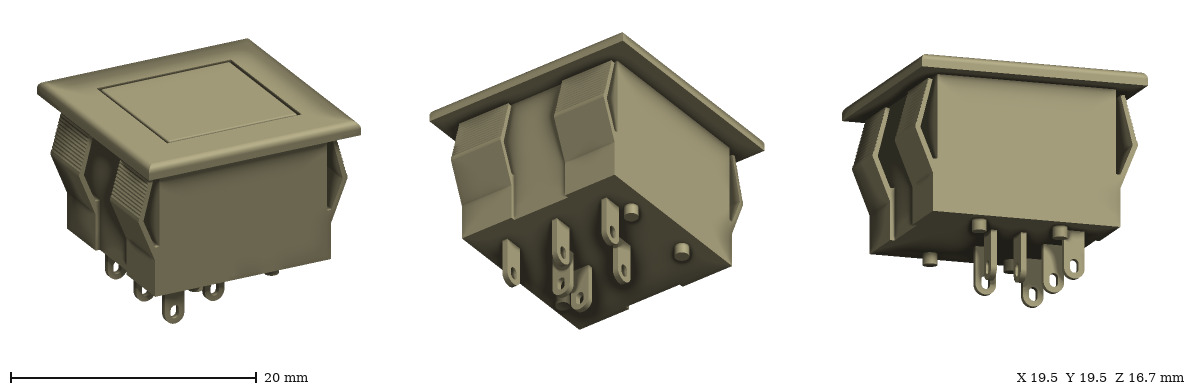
import cadquery as cq
import math

bezel_side = 19.5
bezel_height = 1.19
bezel_fillet = 0.6

pocket_side = 12.36
pocket_depth = 0.6
cap_side = 11.95
cap_fillet = 0.23

body_side = 15.4
body_height = 11.5
body_bottom = -(bezel_height + body_height)

clip_gap = 5.4
clip_width = (body_side - clip_gap) / 2
pad_face = 8.1
pad_top = -9.48
slot_floor = -8.3
slot_fillet = 0.14
knee_outer = 9.61
knee_top = -5.65
knee_bottom = -5.81
knee_setback = 0.02
knee_inner = 9.16
knee_inner_height = -5.73
tip_outer = 8.5
tip_outer_height = -1.58
tip_inner = 8.11
tip_inner_height = -1.65

groove_count = 13
grooved_length = 3.95
groove_pitch = grooved_length / groove_count
groove_depth = 0.068

blade_length = 4.0
blade_width = 1.77
blade_thickness = 0.5
eye_length = 1.15
eye_width = 0.75
eye_height = 1.05
terminal_pitch = 5.0
side_terminal_offset = terminal_pitch / 2
cross_terminal_offset = 1.29

peg_diameter = 1.2
peg_height = 0.94
peg_x = 6.0
peg_y = 3.5

overlap = 0.2
search_margin = 0.02


def square_block(side, top, height):
    return cq.Workplane("XY").workplane(offset=top - height).rect(side, side).extrude(height)


def make_bezel():
    bezel = square_block(bezel_side, 0, bezel_height)
    bezel = bezel.faces(">Z").edges().fillet(bezel_fillet)
    return bezel.cut(square_block(pocket_side, 0, pocket_depth))


def make_cap():
    cap = square_block(cap_side, 0, bezel_height)
    return cap.edges("|Z or >Z").fillet(cap_fillet)


def groove_points():
    """Valley and peak points of the V-grooves, from the tip towards the knee."""
    run = knee_outer - tip_outer
    fall = knee_top - tip_outer_height
    leg_length = math.hypot(run, fall)
    along_y, along_z = run / leg_length, fall / leg_length
    inward_y, inward_z = along_z, -along_y
    points = []
    for index in range(groove_count):
        valley = (index + 0.5) * groove_pitch
        peak = (index + 1) * groove_pitch
        points.append((tip_outer + valley * along_y + groove_depth * inward_y,
                       tip_outer_height + valley * along_z + groove_depth * inward_z))
        points.append((tip_outer + peak * along_y, tip_outer_height + peak * along_z))
    return points


def make_clip(x_start):
    """Pad and spring leg on the +Y face, spanning one clip width from x_start."""
    inside = body_side / 2 - overlap
    outline = [(inside, body_bottom), (pad_face, body_bottom), (pad_face, pad_top),
               (knee_outer - knee_setback, knee_bottom), (knee_outer, knee_top)]
    outline += reversed(groove_points())
    outline += [(tip_outer, tip_outer_height), (tip_inner, tip_inner_height),
                (knee_inner, knee_inner_height), (pad_face, slot_floor),
                (body_side / 2, slot_floor), (inside, slot_floor)]
    return cq.Workplane("YZ").workplane(offset=x_start).polyline(outline).close().extrude(clip_width)


def make_blade():
    """Terminal centred on the Z axis, flat in the YZ plane, hanging below the body."""
    end_radius = blade_width / 2
    round_centre = body_bottom - blade_length + end_radius
    half_thickness = blade_thickness / 2
    blade = (
        cq.Workplane("YZ")
        .moveTo(-end_radius, body_bottom + overlap)
        .lineTo(-end_radius, round_centre)
        .threePointArc((0, round_centre - end_radius), (end_radius, round_centre))
        .lineTo(end_radius, body_bottom + overlap)
        .close()
        .extrude(half_thickness, both=True)
    )
    eye = (
        cq.Workplane("YZ")
        .center(0, body_bottom - blade_length + eye_height)
        .slot2D(eye_length, eye_width, 90)
        .extrude(blade_thickness, both=True)
    )
    return blade.cut(eye)


def make_peg(x, y):
    return (
        cq.Workplane("XY", origin=(x, y, body_bottom - peg_height))
        .circle(peg_diameter / 2)
        .extrude(peg_height + overlap)
    )


result = make_bezel().union(make_cap())
result = result.union(square_block(body_side, -bezel_height + overlap, body_height + overlap))

for x_start in (-body_side / 2, clip_gap / 2):
    clip = make_clip(x_start)
    result = result.union(clip).union(clip.mirror("XZ"))

slot_corners = cq.selectors.BoxSelector(
    (-body_side, -pad_face - overlap, slot_floor - search_margin),
    (body_side, pad_face + overlap, slot_floor + search_margin),
)
result = result.edges("|X").edges(slot_corners).fillet(slot_fillet)

facing_x = [(x, -terminal_pitch) for x in (-terminal_pitch, 0, terminal_pitch)]
facing_x.append((side_terminal_offset, 0))
for x, y in facing_x:
    result = result.union(make_blade().translate((x, y, 0)))

for y in (-cross_terminal_offset, cross_terminal_offset):
    blade = make_blade().rotate((0, 0, 0), (0, 0, 1), 90)
    result = result.union(blade.translate((-side_terminal_offset, y, 0)))

for x in (-peg_x, peg_x):
    for y in (-peg_y, peg_y):
        result = result.union(make_peg(x, y))